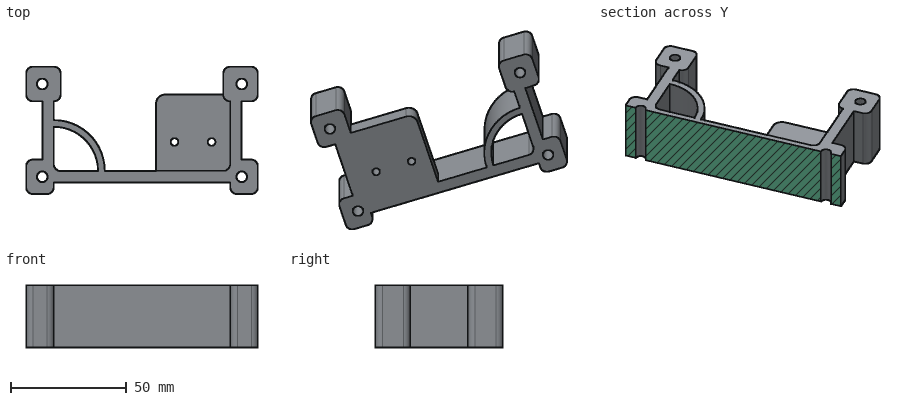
import cadquery as cq

length = 100.0
depth = 55.0
height = 27.0

wall_thickness = 5.0
post_size = 15.0
post_radius = 3.0
post_hole_diameter = 4.5
post_hole_side_inset = 7.0
front_post_width = post_hole_side_inset + wall_thickness
post_hole_end_inset = post_size / 2

side_wall_outer_x = length / 2 - post_hole_side_inset
side_wall_inner_x = side_wall_outer_x - wall_thickness
front_wall_outer_y = 5.0
front_wall_inner_y = front_wall_outer_y + wall_thickness
inner_corner_radius = 3.0

arc_outer_radius = 22.0
arc_wall_thickness = 3.0
arc_inner_radius = arc_outer_radius - arc_wall_thickness

platform_left_x = 6.0
platform_back_y = 43.0
platform_height = 10.0
platform_radius = 4.0
platform_hole_diameter = 3.2
platform_hole_spacing = 16.0
platform_hole_first_x = 14.0
platform_hole_y = 22.5


def block(x_min, x_max, y_min, y_max, block_height=height):
    """Box standing on Z = 0 between the given X and Y limits."""
    size_x = x_max - x_min
    size_y = y_max - y_min
    return cq.Workplane("XY").box(size_x, size_y, block_height, centered=False).translate((x_min, y_min, 0))


def make_post(side, width, y_min):
    """Rounded post at the left (side = -1) or right (side = 1) end."""
    outer_x = side * length / 2
    inner_x = outer_x - side * width
    post = block(min(outer_x, inner_x), max(outer_x, inner_x), y_min, y_min + post_size)
    return post.edges("|Z").fillet(post_radius)


def make_wall_frame():
    """U-shaped wall, open at the back, with rounded inner corners."""
    back_y = depth - post_size / 2
    outer = block(-side_wall_outer_x, side_wall_outer_x, front_wall_outer_y, back_y)
    opening = block(-side_wall_inner_x, side_wall_inner_x, front_wall_inner_y, depth)
    return outer.cut(opening.edges("|Z and <Y").fillet(inner_corner_radius))


def make_arc_wall():
    """Quarter ring centred on the left inner corner of the walls."""
    ring = cq.Workplane("XY").circle(arc_outer_radius).circle(arc_inner_radius).extrude(height)
    quarter = ring.intersect(block(0, arc_outer_radius, 0, arc_outer_radius))
    return quarter.translate((-side_wall_inner_x, front_wall_inner_y, 0))


def make_platform():
    """Low plate running into the front and right walls, with one free rounded corner."""
    plate = block(platform_left_x, side_wall_outer_x, front_wall_outer_y, platform_back_y, platform_height)
    return plate.edges("|Z and <X and >Y").fillet(platform_radius)


def make_holes(points, diameter):
    """Cylinders that cut through the full height."""
    return cq.Workplane("XY").pushPoints(points).circle(diameter / 2).extrude(height)


def make_posts():
    """Full-size posts at the back corners and narrower ones at the front corners."""
    posts = cq.Workplane("XY")
    for side in (-1, 1):
        posts = posts.add(make_post(side, front_post_width, 0))
        posts = posts.add(make_post(side, post_size, depth - post_size))
    return posts.combine()


post_hole_points = [
    (side * side_wall_outer_x, hole_y)
    for side in (-1, 1)
    for hole_y in (post_hole_end_inset, depth - post_hole_end_inset)
]
platform_hole_points = [
    (platform_hole_first_x, platform_hole_y),
    (platform_hole_first_x + platform_hole_spacing, platform_hole_y),
]

result = make_wall_frame().union(make_posts()).union(make_arc_wall()).union(make_platform())
result = result.cut(make_holes(post_hole_points, post_hole_diameter))
result = result.cut(make_holes(platform_hole_points, platform_hole_diameter))